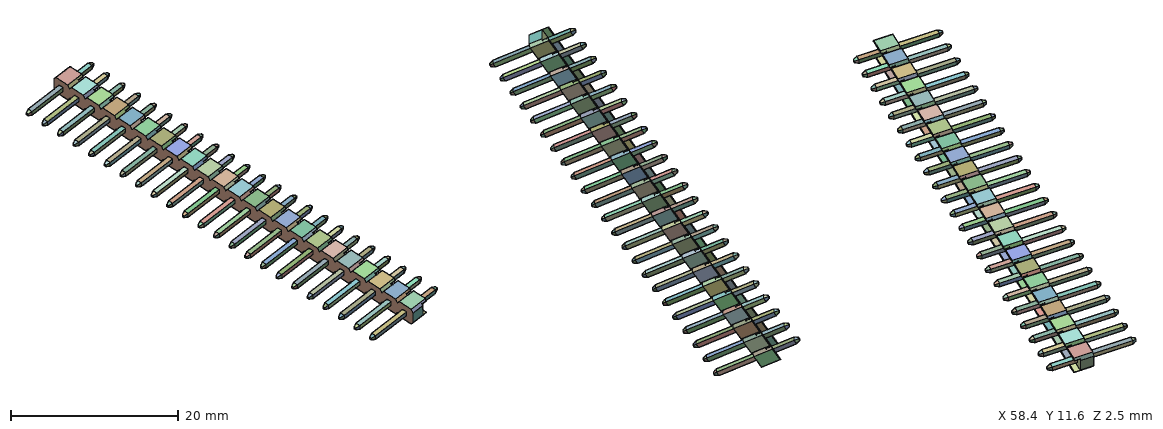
import cadquery as cq


pin_count = 23
strip_length = 58.4
pitch = strip_length / pin_count

strip_height = 2.5
strip_depth = 2.5
strip_front = 0.0
strip_back = strip_front + strip_depth
notch_half_width = 0.305
notch_depth = 0.44
slot_height = 1.9
slot_depth = 0.75

pin_size = 0.65
pin_front_length = 6.0
pin_back_length = 3.1
tip_size = 0.3
tip_length = 0.5
pin_offset = -0.1


def make_strip():
    """Plain rectangular bar, with its front face at strip_front."""
    return cq.Workplane("XY").box(strip_length, strip_depth, strip_height, centered=(True, False, True))


def make_notches():
    """V-grooves on top and bottom at every pitch boundary; at the ends they act as chamfers."""
    boundaries = [(i * pitch - strip_length / 2, 0) for i in range(pin_count + 1)]
    top_z = strip_height / 2
    tip_z = top_z - notch_depth
    notches = cq.Workplane("XZ", origin=(0, strip_back, 0))
    for side in (1, -1):
        outline = [
            (-notch_half_width, side * top_z),
            (notch_half_width, side * top_z),
            (0, side * tip_z),
        ]
        for x, z in boundaries:
            shifted = [(x + px, z + pz) for px, pz in outline]
            notches = notches.polyline(shifted).close()
    return notches.extrude(strip_depth)


def make_back_slot():
    """Slot along the whole back face, leaving thin lips above and below."""
    slot = cq.Workplane("XY").box(strip_length, slot_depth, slot_height, centered=(True, False, True))
    return slot.translate((0, strip_back - slot_depth, 0))


def make_tip(shank_end, direction):
    """Pyramid-shaped pin tip that narrows from shank_end along direction (+1 or -1 in Y)."""
    base = cq.Workplane("XZ", origin=(0, shank_end, 0)).rect(pin_size, pin_size)
    return base.workplane(offset=-direction * tip_length).rect(tip_size, tip_size).loft(ruled=True)


def make_pin():
    """Square pin through the strip, tapered at both ends."""
    shank_front = strip_front - pin_front_length + tip_length
    shank_back = strip_back + pin_back_length - tip_length
    shank = cq.Workplane("XZ", origin=(0, shank_back, 0)).rect(pin_size, pin_size)
    shank = shank.extrude(shank_back - shank_front)
    return shank.union(make_tip(shank_front, -1)).union(make_tip(shank_back, 1))


def make_pin_row():
    """One pin per pitch, offset from the pitch center."""
    centers = [((i + 0.5) * pitch - strip_length / 2 + pin_offset, 0) for i in range(pin_count)]
    pin = make_pin().val()
    return cq.Workplane("XY").pushPoints(centers).eachpoint(lambda place: pin.moved(place))


strip = make_strip().cut(make_notches()).cut(make_back_slot())
result = strip.union(make_pin_row())